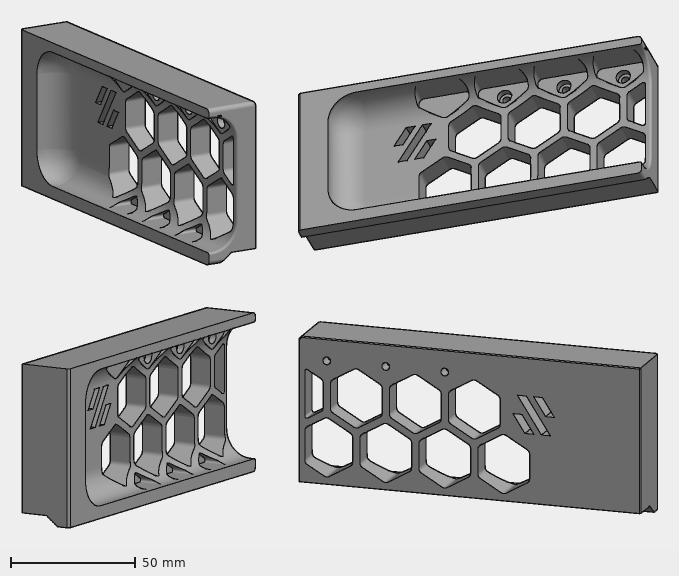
import cadquery as cq
import math

TOTAL_LENGTH = 145.5
NUB_LENGTH = 0.5
LENGTH = TOTAL_LENGTH - NUB_LENGTH
DEPTH = 22.4
HEIGHT = 65.0
FRONT_CHAMFER = 1.0
EDGE_CHAMFER = 0.5

STEP_HEIGHT = 4.1
LIP_DEPTH = 5.4
SLOPE_END = 10.6

POCKET_LEFT = 12.8
POCKET_BOTTOM = 5.2
POCKET_TOP = 61.1
POCKET_DEPTH = 13.1
POCKET_CORNER = 12.1
POCKET_FLOOR_RADIUS = 11.0

END_OUTER_RADIUS = 1.9
END_INNER_RADIUS = 1.0
SELECT_MARGIN = 0.1

NUB_FRONT = 4.2
NUB_DEPTH = 1.3
NUB_HEIGHT = 0.5
NUB_LIFT = 0.5

HEX_WIDTH = 22.0
HEX_PITCH = 25.0
HEX_CORNER = 2.2
HEX_SHARP_CORNER = 0.9
HEX_RIGHT_LIMIT = 142.5
ROW_PITCH = HEX_PITCH * math.sqrt(3) / 2
HEX_FIRST_X = 58.0
HEX_FIRST_Z = 19.5
BLIND_DEPTH = POCKET_DEPTH
FULL_ROW = 4
SHORT_ROW = 3

SCREW_DIAMETER = 3.2
HEAD_DIAMETER = 6.0
HEAD_DEPTH = 2.9
SCREW_Z = 55.7
SCREW_COUNT = 3

SLOT_WIDTH = 3.8
SLOT_LEAN = 0.65
SLOT_BOTTOM = 33.2
SLOT_SHORT = 7.9
SLOTS = [
    (36.5, SLOT_BOTTOM + SLOT_SHORT, SLOT_SHORT),
    (38.3, SLOT_BOTTOM, 2 * SLOT_SHORT),
    (45.3, SLOT_BOTTOM, SLOT_SHORT),
]


def front_plane():
    """Sketch plane on the front face; extruding by a negative length goes into the block."""
    return cq.Workplane("XZ")


def make_block():
    profile = [
        (0, 0),
        (LIP_DEPTH, 0),
        (SLOPE_END, STEP_HEIGHT),
        (DEPTH, STEP_HEIGHT),
        (DEPTH, HEIGHT),
        (0, HEIGHT),
    ]
    block = cq.Workplane("YZ").polyline(profile).close().extrude(LENGTH)
    block = block.faces(">X").edges("|Y and (>Z or <Z)").fillet(END_OUTER_RADIUS)
    block = block.faces("<X").edges("<Y").chamfer(FRONT_CHAMFER)
    return block.faces(">Y").edges("<X or >Z").chamfer(EDGE_CHAMFER)


def make_pocket():
    """Pocket volume, run past the +X end so that the end is open."""
    width = 2 * (LENGTH - POCKET_LEFT)
    height = POCKET_TOP - POCKET_BOTTOM
    pocket = (
        front_plane()
        .center(LENGTH, (POCKET_TOP + POCKET_BOTTOM) / 2)
        .rect(width, height)
        .extrude(-POCKET_DEPTH)
    )
    pocket = pocket.edges("|Y").fillet(POCKET_CORNER)
    return pocket.faces(">Y").edges().fillet(POCKET_FLOOR_RADIUS)


def round_pocket_end(body):
    """Round the pocket profile where it meets the +X end face."""
    inside = cq.selectors.BoxSelector(
        (LENGTH - SELECT_MARGIN, -SELECT_MARGIN, POCKET_BOTTOM - SELECT_MARGIN),
        (LENGTH + SELECT_MARGIN, POCKET_DEPTH + SELECT_MARGIN, POCKET_TOP + SELECT_MARGIN),
        boundingbox=True,
    )
    return body.edges(inside).fillet(END_INNER_RADIUS)


def end_nub():
    """Nub on the end face of the upper rail, started inside the rail so that it fuses."""
    nub = cq.Workplane("XY").box(2 * NUB_LENGTH, NUB_DEPTH, NUB_HEIGHT, centered=False)
    return nub.translate((LENGTH - NUB_LENGTH, NUB_FRONT, POCKET_TOP + NUB_LIFT))


def hexagon(column, row, depth, sharp_edges=None):
    """Hexagonal prism from the front face, trimmed to the pocket walls and right limit.

    The edges picked by sharp_edges are the acute corners left by trimming.
    """
    x = HEX_FIRST_X + (column + (row % 2) / 2) * HEX_PITCH
    z = HEX_FIRST_Z + row * ROW_PITCH
    across_corners = 2 * HEX_WIDTH / math.sqrt(3)
    prism = (
        front_plane()
        .center(x, z)
        .transformed(rotate=(0, 0, 90))
        .polygon(6, across_corners)
        .extrude(-depth)
    )
    limit = cq.Workplane("XY").box(
        HEX_RIGHT_LIMIT, depth, POCKET_TOP - POCKET_BOTTOM, centered=False
    )
    limit = limit.translate((0, 0, POCKET_BOTTOM))
    trimmed = prism.intersect(limit)
    if sharp_edges is None:
        return trimmed.edges("|Y").fillet(HEX_CORNER)
    trimmed = trimmed.edges(f"|Y and (not {sharp_edges})").fillet(HEX_CORNER)
    return trimmed.edges(f"|Y and {sharp_edges}").fillet(HEX_SHARP_CORNER)


def screw_hole(x):
    hole = front_plane().center(x, SCREW_Z).circle(SCREW_DIAMETER / 2).extrude(-DEPTH)
    head = (
        front_plane().center(x, SCREW_Z).circle(HEAD_DIAMETER / 2)
        .extrude(-(BLIND_DEPTH + HEAD_DEPTH))
    )
    return hole.union(head)


def slanted_slot(x, z, height):
    lean = SLOT_LEAN * height
    corners = [
        (x, z),
        (x + SLOT_WIDTH, z),
        (x + SLOT_WIDTH + lean, z + height),
        (x + lean, z + height),
    ]
    return front_plane().polyline(corners).close().extrude(-DEPTH)


result = round_pocket_end(make_block().cut(make_pocket())).union(end_nub())

for column in range(SHORT_ROW):
    result = result.cut(hexagon(column, -1, BLIND_DEPTH, sharp_edges="<Z"))

for column in range(FULL_ROW):
    result = result.cut(hexagon(column, 0, DEPTH))
for column in range(SHORT_ROW):
    result = result.cut(hexagon(column, 1, DEPTH))
result = result.cut(hexagon(SHORT_ROW, 1, DEPTH, sharp_edges=">X"))

for column in range(FULL_ROW):
    result = result.cut(hexagon(column, 2, BLIND_DEPTH))

for index in range(SCREW_COUNT):
    result = result.cut(screw_hole(HEX_FIRST_X + (index + 1) * HEX_PITCH))

for slot in SLOTS:
    result = result.cut(slanted_slot(*slot))